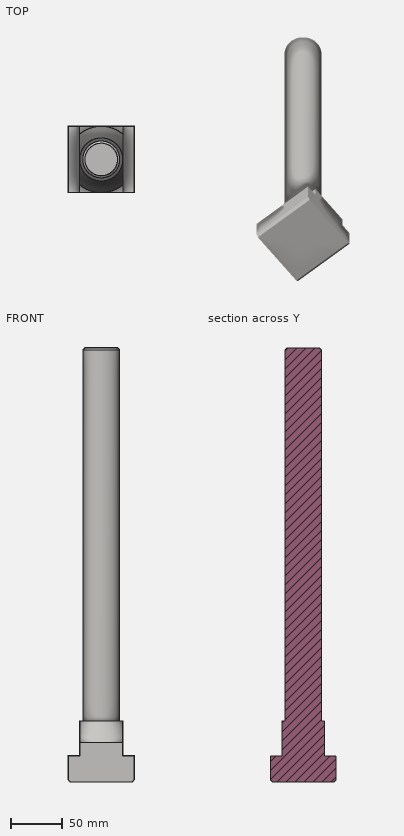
import cadquery as cq

total_height = 426.0
head_width = 65.0
head_height = 26.0
head_chamfer = 2.5
neck_width = 42.0
neck_height = 39.0
cone_top = 60.0
shaft_diameter = 36.0
tip_chamfer = 2.0


def make_head():
    """Square head with its two lower edges along Y chamfered."""
    head = cq.Workplane("XY").box(head_width, head_width, head_height, centered=(True, True, False))
    return head.faces("<Z").edges("|Y").chamfer(head_chamfer)


def make_neck():
    """Slot-wide neck, full head depth, topped by a cone trimmed to the slot width."""
    block = (
        cq.Workplane("XY").workplane(offset=head_height).rect(neck_width, head_width)
        .extrude(neck_height - head_height)
    )
    cone = (
        cq.Workplane("XY").workplane(offset=neck_height).circle(head_width / 2)
        .workplane(offset=cone_top - neck_height).circle(neck_width / 2)
        .loft()
    )
    slot = cq.Workplane("XY").box(neck_width, head_width, cone_top, centered=(True, True, False))
    return block.union(cone.intersect(slot))


def make_shaft():
    """Round shaft rising from the cone, chamfered at its free end."""
    shaft = cq.Workplane("XY").workplane(offset=cone_top).circle(shaft_diameter / 2)
    return shaft.extrude(total_height - cone_top).faces(">Z").chamfer(tip_chamfer)


result = make_head().union(make_neck()).union(make_shaft())